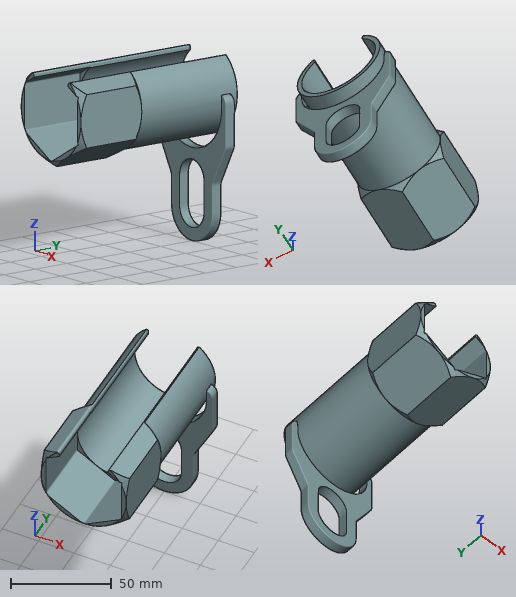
import cadquery as cq
import math

LENGTH = 100.0
OUTER_RADIUS = 23.6
BORE_RADIUS = 21.0
HEX_LENGTH = 38.9
HEX_POCKET_DEPTH = 35.4
POCKET_CORNER_RADIUS = 1.0
SLOT_WIDTH = 27.0
LIP_RADIUS = 1.2

PLATE_BACK_GAP = 4.4
PLATE_THICKNESS = 5.6
PLATE_WIDTH = 54.0
PLATE_EDGE_RADIUS = 0.5
ARM_TOP_Z = 1.2
SHOULDER_Z = -25.9
NECK_Z = -46.0
CORNER_RADIUS = 5.0
END_RADIUS = 16.4
END_CENTER_Z = -61.1
EYE_RADIUS = 9.6
EYE_TOP_CENTER_Z = -45.4
CRADLE_RADIUS = 23.5
CRADLE_CENTER_Z = -6.3

CORNER_PER_FLAT = 1 / math.cos(math.radians(30))
hex_corner_radius = OUTER_RADIUS * CORNER_PER_FLAT
plate_back_y = LENGTH - PLATE_BACK_GAP


def profile_at(y):
    """Sketch plane across the axis; extrusions from it run toward the front (-Y)."""
    return cq.Workplane("XZ", origin=(0, y, 0))


def hex_prism(flat_radius, length):
    """Hexagonal prism from y = 0 to y = length with corners at top and bottom."""
    corner_diameter = 2 * flat_radius * CORNER_PER_FLAT
    prism = profile_at(length).polygon(6, corner_diameter).extrude(length)
    return prism.rotate((0, 0, 0), (0, 1, 0), 30)


def make_hex_head():
    """Hexagon with 45 degree conical chamfers down to the flats at both ends."""
    chamfer = hex_corner_radius - OUTER_RADIUS
    turned_blank = (
        profile_at(HEX_LENGTH).circle(hex_corner_radius).extrude(HEX_LENGTH)
        .edges().chamfer(chamfer)
    )
    return hex_prism(OUTER_RADIUS, HEX_LENGTH).intersect(turned_blank)


def make_slot_cutter():
    """Opening along the top, flared so that both lips are rounded on the outside.

    The lip arc meets the slot wall and the hexagon's sloping upper flat tangentially.
    """
    half = SLOT_WIDTH / 2
    arc_x = half + LIP_RADIUS
    flat_z = hex_corner_radius - half * math.tan(math.radians(30))
    arc_z = flat_z - LIP_RADIUS / math.tan(math.radians(30))

    def on_lip(angle):
        radians = math.radians(angle)
        return arc_x + LIP_RADIUS * math.cos(radians), arc_z + LIP_RADIUS * math.sin(radians)

    tangent = on_lip(60)
    right_half = (
        profile_at(LENGTH)
        .moveTo(0, 0)
        .lineTo(half, 0)
        .lineTo(half, arc_z)
        .threePointArc(on_lip(120), tangent)
        .lineTo(half, flat_z)
        .lineTo(0, hex_corner_radius)
        .close()
        .extrude(LENGTH)
    )
    return right_half.union(right_half.mirror("YZ"))


def make_socket():
    tube = profile_at(LENGTH).circle(OUTER_RADIUS).extrude(LENGTH)
    bore = profile_at(LENGTH).circle(BORE_RADIUS).extrude(LENGTH)
    pocket = hex_prism(BORE_RADIUS, HEX_POCKET_DEPTH).edges("|Y").fillet(POCKET_CORNER_RADIUS)
    body = tube.union(make_hex_head())
    return body.cut(bore).cut(pocket).cut(make_slot_cutter())


def make_plate():
    half = PLATE_WIDTH / 2
    plate = (
        profile_at(plate_back_y)
        .moveTo(-half, ARM_TOP_Z)
        .lineTo(half, ARM_TOP_Z)
        .lineTo(half, SHOULDER_Z)
        .lineTo(END_RADIUS, NECK_Z)
        .lineTo(END_RADIUS, END_CENTER_Z)
        .threePointArc((0, END_CENTER_Z - END_RADIUS), (-END_RADIUS, END_CENTER_Z))
        .lineTo(-END_RADIUS, NECK_Z)
        .lineTo(-half, SHOULDER_Z)
        .close()
        .extrude(PLATE_THICKNESS)
    )
    outline_corners = cq.selectors.BoxSelector(
        (-LENGTH, 0, NECK_Z - 1), (LENGTH, LENGTH, ARM_TOP_Z + 1)
    )
    plate = plate.edges("|Y").edges(outline_corners).fillet(CORNER_RADIUS)
    plate = plate.faces("<Y or >Y").edges().fillet(PLATE_EDGE_RADIUS)

    eye_height = EYE_TOP_CENTER_Z - END_CENTER_Z
    eye = (
        profile_at(plate_back_y)
        .center(0, (EYE_TOP_CENTER_Z + END_CENTER_Z) / 2)
        .slot2D(eye_height + 2 * EYE_RADIUS, 2 * EYE_RADIUS, 90)
        .extrude(PLATE_THICKNESS)
    )
    cradle = (
        profile_at(plate_back_y)
        .moveTo(-CRADLE_RADIUS, CRADLE_CENTER_Z)
        .threePointArc((0, CRADLE_CENTER_Z - CRADLE_RADIUS), (CRADLE_RADIUS, CRADLE_CENTER_Z))
        .lineTo(CRADLE_RADIUS, ARM_TOP_Z)
        .lineTo(-CRADLE_RADIUS, ARM_TOP_Z)
        .close()
        .extrude(PLATE_THICKNESS)
    )
    return plate.cut(eye).cut(cradle)


result = make_socket().union(make_plate())